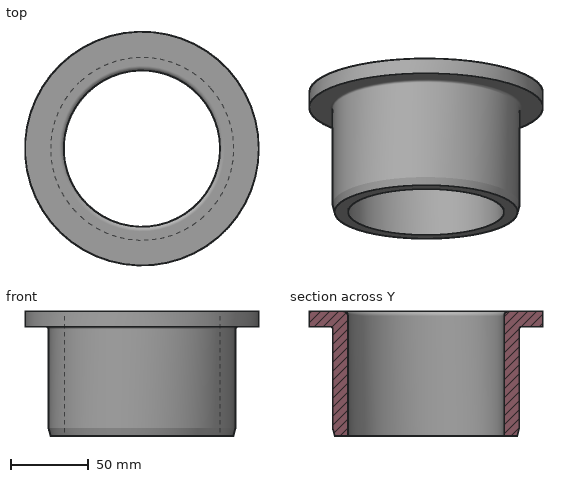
import cadquery as cq
import math

bore_diameter = 100.0
sleeve_diameter = 120.0
flange_diameter = 150.0
total_height = 80.0
flange_thickness = 10.0
bore_edge_radius = 3.0
root_fillet_radius = 1.5
lead_in_height = 5.0
lead_in_angle = 15.0

bore_radius = bore_diameter / 2
sleeve_radius = sleeve_diameter / 2
flange_radius = flange_diameter / 2
flange_underside = total_height - flange_thickness
lead_in_inset = lead_in_height * math.tan(math.radians(lead_in_angle))
arc_midpoint_inset = 1 - math.sqrt(0.5)


def bushing_section():
    """Half section in the XZ plane, from the bottom of the bore outwards and up."""
    return (
        cq.Workplane("XZ")
        .moveTo(bore_radius, 0)
        .lineTo(sleeve_radius - lead_in_inset, 0)
        .lineTo(sleeve_radius, lead_in_height)
        .lineTo(sleeve_radius, flange_underside - root_fillet_radius)
        .threePointArc(
            (
                sleeve_radius + root_fillet_radius * arc_midpoint_inset,
                flange_underside - root_fillet_radius * arc_midpoint_inset,
            ),
            (sleeve_radius + root_fillet_radius, flange_underside),
        )
        .lineTo(flange_radius, flange_underside)
        .lineTo(flange_radius, total_height)
        .lineTo(bore_radius + bore_edge_radius, total_height)
        .threePointArc(
            (
                bore_radius + bore_edge_radius * arc_midpoint_inset,
                total_height - bore_edge_radius * arc_midpoint_inset,
            ),
            (bore_radius, total_height - bore_edge_radius),
        )
        .close()
    )


result = bushing_section().revolve(360, (0, 0, 0), (0, 1, 0))